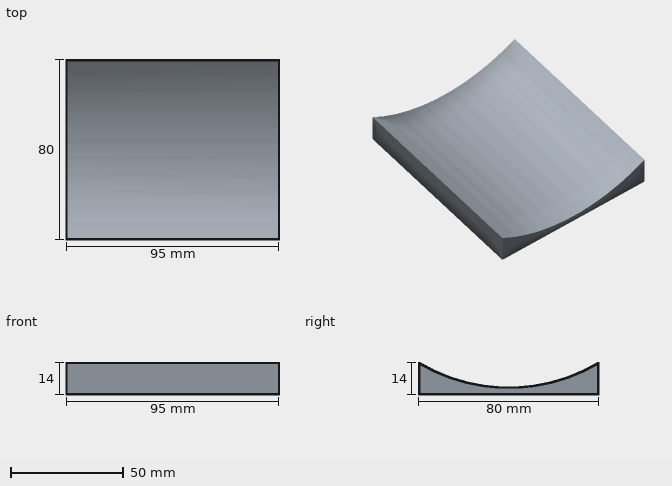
import cadquery as cq

length = 95.0
width = 80.0
height = 14.0

floor_thickness = 2.9

half_width = width / 2

profile = (
    cq.Workplane("YZ")
    .moveTo(-half_width, 0)
    .lineTo(half_width, 0)
    .lineTo(half_width, height)
    .threePointArc((0, floor_thickness), (-half_width, height))
    .close()
)

result = profile.extrude(length / 2, both=True)